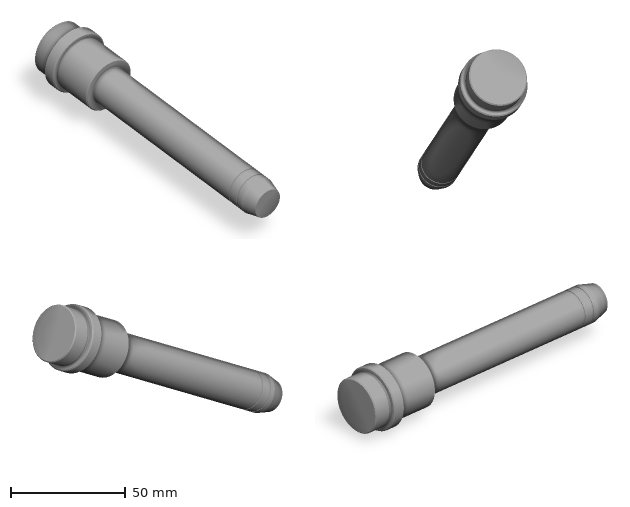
import cadquery as cq
import math

total_length = 141.0
shaft_diameter = 18.0
head_diameter = 26.0
collar_diameter = 30.0

collar_start = 9.0
collar_width = 5.9
collar_end = collar_start + collar_width
head_length = 35.0
taper_length = 7.0
taper_angle = 15.0

edge_chamfer = 0.5
shaft_root_radius = 0.4
front_relief_width = 1.3
front_relief_depth = 0.35
rear_relief_width = 0.8
rear_relief_depth = 0.21
groove_width = 0.8
groove_depth = 0.3
groove_starts = (125.5, 130.5)


def cylinder(start, length, diameter):
    """Solid cylinder along X, beginning at the given station."""
    return cq.Workplane("YZ", origin=(start, 0, 0)).circle(diameter / 2).extrude(length)


def square_groove(start, width, outer_diameter, depth):
    """Ring to cut away for a square groove of the given depth."""
    cutter_diameter = outer_diameter + 2 * depth
    floor_diameter = outer_diameter - 2 * depth
    return cylinder(start, width, cutter_diameter).cut(cylinder(start, width, floor_diameter))


def round_groove(start, width, outer_diameter, depth):
    """Ring to cut away for a groove with a hollow, arc-shaped floor."""
    radius = outer_diameter / 2
    profile = (
        cq.Workplane("XY")
        .moveTo(start, radius)
        .threePointArc((start + width / 2, radius - depth), (start + width, radius))
        .lineTo(start + width, radius + depth)
        .lineTo(start, radius + depth)
        .close()
    )
    return profile.revolve(360, (0, 0, 0), (1, 0, 0))


def make_head():
    """Head with broken end edges and a relief on each side of the collar."""
    head = cylinder(0, head_length, head_diameter).edges().chamfer(edge_chamfer)
    front_start = collar_start - front_relief_width
    head = head.cut(round_groove(front_start, front_relief_width, head_diameter, front_relief_depth))
    return head.cut(square_groove(collar_end, rear_relief_width, head_diameter, rear_relief_depth))


def make_collar():
    """Flange around the head, chamfered on both rims."""
    return cylinder(collar_start, collar_width, collar_diameter).edges().chamfer(edge_chamfer)


def make_shaft():
    """Long shaft with two ring grooves and a conical tip."""
    taper_drop = taper_length * math.tan(math.radians(taper_angle))
    shaft = cylinder(0, total_length, shaft_diameter)
    shaft = shaft.faces(">X").edges().chamfer(taper_length, taper_drop)
    for start in groove_starts:
        shaft = shaft.cut(square_groove(start, groove_width, shaft_diameter, groove_depth))
    return shaft


def shaft_root_fillet():
    """Ring that blends the shaft into the end face of the head."""
    radius = shaft_diameter / 2
    arc_reach = shaft_root_radius * (1 - math.sqrt(0.5))
    arc_middle = (head_length + arc_reach, radius + arc_reach)
    arc_end = (head_length + shaft_root_radius, radius)
    profile = (
        cq.Workplane("XY")
        .moveTo(head_length, radius)
        .lineTo(head_length, radius + shaft_root_radius)
        .threePointArc(arc_middle, arc_end)
        .close()
    )
    return profile.revolve(360, (0, 0, 0), (1, 0, 0))


result = make_head().union(make_collar()).union(make_shaft()).union(shaft_root_fillet())